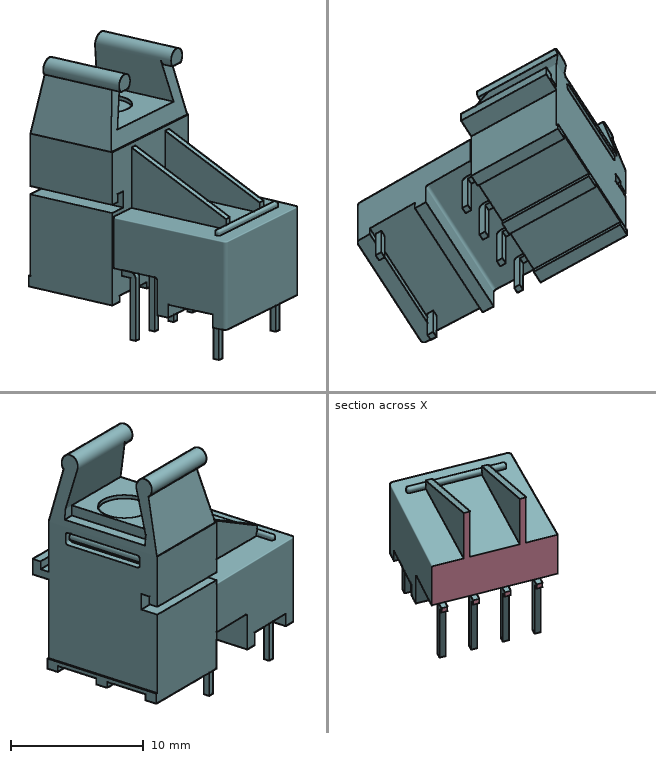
import cadquery as cq
import math


overall_length = 17.8
overall_height_above_foot = 18.0
overlap = 0.2

housing_front = 0.13
housing_back = 7.6
housing_half_width = 5.1
housing_height = 12.25
foot_lip_height = 0.85
foot_notch_height = 0.5
foot_notches = [(-4.08, -0.48), (0.55, 4.15)]

hook_bottom = 7.4
hook_shelf = 8.05
hook_top = 8.7
hook_reach = 1.5
hook_lip = 0.75

window_y = (-3.45, 3.5)
window_z = (10.8, 11.82)
window_depth = 0.6
window_corner = 0.25
bar_margin = 0.16

deck_height = 13.65
step_height = 12.8
step_back = 1.1
slope_front_at_top = 0.77
slope_back_at_base = 7.5
slope_back_at_tip = 6.75
slope_tip_height = 16.6
dimple_diameter = 4.0
dimple_centre = (3.3, 0.33)
dimple_depth = 0.3

arms = [
    dict(outer_foot=-5.06, inner_foot=-3.89, outer_neck=-3.90, bead_y=-3.44, bead_radius=0.73),
    dict(outer_foot=5.1, inner_foot=3.63, outer_neck=4.07, bead_y=3.53, bead_radius=0.76),
]
bead_underside = 16.72

module_front = 7.7
module_height = 7.05
module_half_width_front = 5.07
module_half_width_back = 4.88
module_floor = 3.0
module_leg_front = 11.63
module_leg_fillet = 0.25
module_notch = (12.6, 16.6)
module_notch_height = 1.05
module_corner_radius = 0.3
module_edge_radius = 0.08
neck_half_width = 4.95

rib_end = 16.2
rib_height_at_housing = 11.88
rib_height_at_end = 7.88
rib_thickness = 0.53
rib_offset = 2.25
ridge_x = (16.12, 16.6)
ridge_height = 0.4
ridge_half_length = 4.0
ridge_radius = 0.2

pin_size = 0.5
pin_bottom = -2.95
pin_pitch = 2.54
first_pin_y = -3.58
pin_count = 4
bent_pin_back = 8.87
bent_pin_top = 2.5
straight_pin_x = 16.2


def box(x, y, z):
    """Axis-aligned box from (min, max) pairs."""
    size = (x[1] - x[0], y[1] - y[0], z[1] - z[0])
    return cq.Workplane("XY").box(*size, centered=False).translate((x[0], y[0], z[0]))


def side_profile(points, y):
    """Prism with an XZ outline, between two Y positions."""
    prism = cq.Workplane("XZ").polyline(points).close().extrude(-(y[1] - y[0]))
    return prism.translate((0, y[0], 0))


def end_profile(points, x):
    """Prism with a YZ outline, between two X positions."""
    return cq.Workplane("YZ").workplane(offset=x[0]).polyline(points).close().extrude(x[1] - x[0])


def hook_outline(root_y):
    """L-shaped hook section that starts at root_y and points to +Y."""
    tip_y = root_y + hook_reach
    lip_y = tip_y - hook_lip
    return [
        (root_y, hook_bottom),
        (tip_y, hook_bottom),
        (tip_y, hook_top),
        (lip_y, hook_top),
        (lip_y, hook_shelf),
        (root_y, hook_shelf),
    ]


def make_housing():
    length = (housing_front, housing_back)
    width = (-housing_half_width, housing_half_width)
    housing = box(length, width, (0, housing_height))
    housing = housing.union(box((0, housing_back), width, (0, foot_lip_height)))
    housing = housing.union(end_profile(hook_outline(housing_half_width), length))
    housing = housing.cut(end_profile(hook_outline(-housing_half_width), length))
    for notch in foot_notches:
        housing = housing.cut(box((0, housing_back), notch, (0, foot_notch_height)))
    return housing.cut(make_window()).union(make_window_bar())


def make_window():
    window = box((housing_front, housing_front + window_depth), window_y, window_z)
    return window.edges("|X").fillet(window_corner)


def make_window_bar():
    floor_x = housing_front + window_depth
    centre_z = (window_z[0] + window_z[1]) / 2
    radius = (window_z[1] - window_z[0]) / 2 - bar_margin
    start_y = window_y[0] + bar_margin
    end_y = window_y[1] - bar_margin
    bar = cq.Workplane("XZ").center(floor_x, centre_z).circle(radius).extrude(-(end_y - start_y))
    return bar.translate((0, start_y, 0))


def inner_tangent_point(arm):
    """Point (Y, Z) where a line from the foot of the inner face touches the bead."""
    side = math.copysign(1, arm["bead_y"])
    dy = arm["bead_y"] - arm["inner_foot"]
    dz = overall_height_above_foot - arm["bead_radius"] - deck_height
    distance = math.hypot(dy, dz)
    tangent_length = math.sqrt(distance**2 - arm["bead_radius"] ** 2)
    angle = math.atan2(dz, dy) + side * math.asin(arm["bead_radius"] / distance)
    return (
        arm["inner_foot"] + tangent_length * math.cos(angle),
        deck_height + tangent_length * math.sin(angle),
    )


def make_arm(arm):
    outline = [
        (arm["outer_foot"], housing_height),
        (arm["inner_foot"], housing_height),
        (arm["inner_foot"], deck_height),
        inner_tangent_point(arm),
        (arm["bead_y"], overall_height_above_foot - arm["bead_radius"]),
        (arm["outer_neck"], bead_underside),
    ]
    return end_profile(outline, (housing_front, housing_back))


def make_bead(arm):
    """Round bead along X, flattened underneath."""
    length = (housing_front, housing_back)
    radius = arm["bead_radius"]
    bead = cq.Workplane("YZ").workplane(offset=housing_front)
    bead = bead.center(arm["bead_y"], overall_height_above_foot - radius).circle(radius)
    bead = bead.extrude(housing_back - housing_front)
    width = (-housing_half_width, housing_half_width)
    return bead.intersect(box(length, width, (bead_underside, overall_height_above_foot)))


def make_latch():
    inner_y = (arms[0]["inner_foot"], arms[1]["inner_foot"])
    latch = box((housing_front, housing_back), inner_y, (housing_height, deck_height))
    for arm in arms:
        latch = latch.union(make_arm(arm))

    width = (-housing_half_width, housing_half_width)
    back_run = (slope_back_at_base - slope_back_at_tip) / (slope_tip_height - housing_height)
    top_rise = overall_height_above_foot - housing_height
    front_foot = (housing_front, housing_height)
    front_top = (slope_front_at_top, overall_height_above_foot)
    lean = side_profile(
        [
            front_foot,
            (slope_back_at_base, housing_height),
            (slope_back_at_base - back_run * top_rise, overall_height_above_foot),
            front_top,
        ],
        width,
    )
    front_wedge = side_profile([front_foot, front_top, (housing_front, overall_height_above_foot)], width)
    latch = latch.intersect(lean)
    for arm in arms:
        latch = latch.union(make_bead(arm).cut(front_wedge))

    latch = latch.cut(box((housing_front, step_back), inner_y, (step_height, deck_height)))
    dimple = cq.Workplane("XY").workplane(offset=deck_height - dimple_depth)
    dimple = dimple.center(*dimple_centre).circle(dimple_diameter / 2).extrude(dimple_depth)
    return latch.cut(dimple)


def make_module():
    plan = [
        (module_front, -module_half_width_front),
        (overall_length, -module_half_width_back),
        (overall_length, module_half_width_back),
        (module_front, module_half_width_front),
    ]
    module = cq.Workplane("XY").polyline(plan).close().extrude(module_height)
    module = module.edges("|Z and >X").fillet(module_corner_radius)
    module = module.faces(">Z").edges("not <X").fillet(module_edge_radius)

    width = (-housing_half_width, housing_half_width)
    undercut = box((module_front - overlap, module_leg_front), width, (-overlap, module_floor))
    undercut = undercut.edges("|Y and >X and >Z").fillet(module_leg_fillet)
    module = module.cut(undercut)
    module = module.cut(box(module_notch, width, (0, module_notch_height)))

    neck_x = (housing_back - overlap, module_front + overlap)
    return module.union(box(neck_x, (-neck_half_width, neck_half_width), (module_floor, module_height)))


def make_rib(centre_y):
    outline = [
        (housing_back, module_height - overlap),
        (rib_end, module_height - overlap),
        (rib_end, rib_height_at_end),
        (housing_back, rib_height_at_housing),
    ]
    return side_profile(outline, (centre_y - rib_thickness / 2, centre_y + rib_thickness / 2))


def make_ridge():
    length = (-ridge_half_length, ridge_half_length)
    ridge = box(ridge_x, length, (module_height - overlap, module_height + ridge_height))
    return ridge.edges("|Z or >Z").fillet(ridge_radius)


def make_bent_pin(centre_y):
    inner_x = bent_pin_back - pin_size
    inner_z = bent_pin_top - pin_size
    root_x = housing_back - overlap
    outline = cq.Workplane("XZ").moveTo(root_x, inner_z).lineTo(inner_x, inner_z)
    outline = outline.lineTo(inner_x, pin_bottom).lineTo(bent_pin_back, pin_bottom)
    outline = outline.lineTo(bent_pin_back, inner_z).radiusArc((inner_x, bent_pin_top), -pin_size)
    pin = outline.lineTo(root_x, bent_pin_top).close().extrude(pin_size / 2, both=True)
    return pin.translate((0, centre_y, 0))


def make_straight_pin(centre_y):
    half = pin_size / 2
    return box(
        (straight_pin_x - half, straight_pin_x + half),
        (centre_y - half, centre_y + half),
        (pin_bottom, module_notch_height + overlap),
    )


result = make_housing().union(make_latch()).union(make_module()).union(make_ridge())
for rib_y in (-rib_offset, rib_offset):
    result = result.union(make_rib(rib_y))

pin_rows = [first_pin_y + i * pin_pitch for i in range(pin_count)]
for pin_y in pin_rows:
    result = result.union(make_bent_pin(pin_y))
for pin_y in (pin_rows[0], pin_rows[-1]):
    result = result.union(make_straight_pin(pin_y))